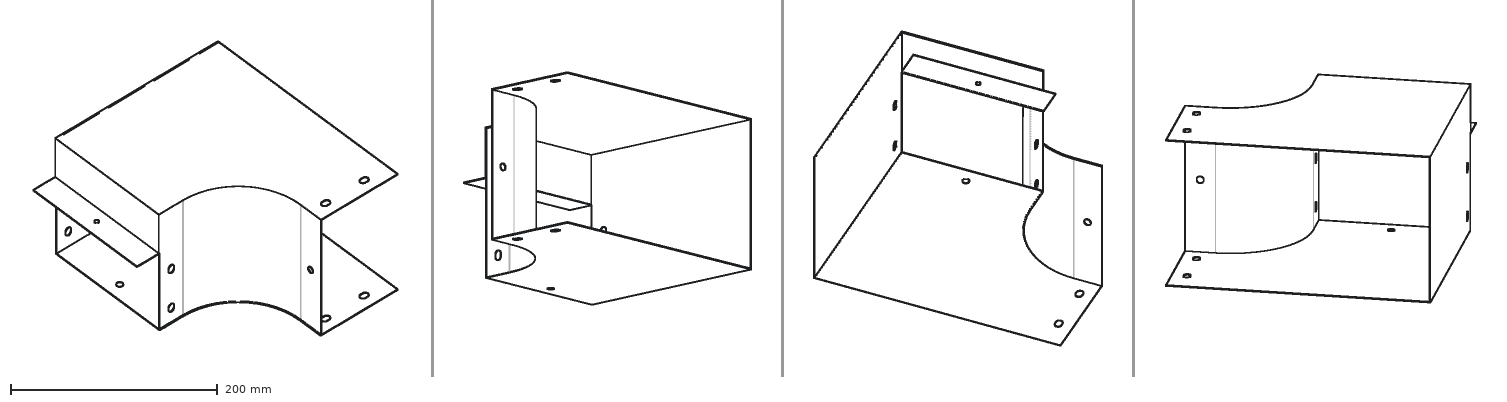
import cadquery as cq

LENGTH_X = 260.0
LENGTH_Y = 240.0
HEIGHT = 150.0
WALL = 1.0

FRONT_ARM_WIDTH = 150.0
SIDE_ARM_WIDTH = 100.0
STRAIGHT_END = 30.0
BEND_RADIUS = LENGTH_X - FRONT_ARM_WIDTH - STRAIGHT_END

FLANGE_DEPTH = 28.3
PLATE_FACE_Y = FLANGE_DEPTH
DUCT_FRONT_Y = PLATE_FACE_Y + WALL
FLANGE_TOP_Z = 100.0

HOLE_DIAMETER = 7.0
FLANGE_HOLE_DIAMETER = 5.0
SLOT_WIDTH = 7.0
SLOT_LENGTH = 10.0
EDGE_DISTANCE = 15.0
FRONT_HOLE_DISTANCE = 15.5
SLOT_WALL_DISTANCE = 20.0
SLOT_SPACING = 50.0

BACK_Y = LENGTH_Y
INNER_WALL_Y = BACK_Y - SIDE_ARM_WIDTH
SIDE_HOLES_X = LENGTH_X - EDGE_DISTANCE
FRONT_HOLES_Y = DUCT_FRONT_Y + FRONT_HOLE_DISTANCE
FLANGE_CENTER_X = FRONT_ARM_WIDTH / 2


def inner_bend(sketch, offset):
    """Follow the inner wall from the front end to the side end, moved into the duct by offset."""
    wall_x = FRONT_ARM_WIDTH - offset
    wall_y = INNER_WALL_Y + offset
    radius = BEND_RADIUS + offset
    center_x = FRONT_ARM_WIDTH + BEND_RADIUS
    center_y = INNER_WALL_Y - BEND_RADIUS
    diagonal = radius / 2**0.5
    return (
        sketch.lineTo(wall_x, center_y)
        .threePointArc((center_x - diagonal, center_y + diagonal), (center_x, wall_y))
        .lineTo(LENGTH_X, wall_y)
    )


def elbow(offset, back_y, bottom_z, height):
    """Solid elbow whose left and inner walls are moved inward by offset."""
    outline = (
        cq.Workplane("XY", origin=(0, 0, bottom_z))
        .moveTo(offset, DUCT_FRONT_Y)
        .lineTo(FRONT_ARM_WIDTH - offset, DUCT_FRONT_Y)
    )
    outline = inner_bend(outline, offset).lineTo(LENGTH_X, back_y).lineTo(offset, back_y)
    return outline.close().extrude(height)


def plate(size_x, size_y, size_z, origin):
    return cq.Workplane("XY", origin=origin).box(size_x, size_y, size_z, centered=False)


shell = elbow(0, BACK_Y, 0, HEIGHT).cut(elbow(WALL, BACK_Y, WALL, HEIGHT - 2 * WALL))

front_plate = plate(
    FRONT_ARM_WIDTH, WALL, HEIGHT - FLANGE_TOP_Z + WALL, (0, PLATE_FACE_Y, FLANGE_TOP_Z - WALL)
)
flange = plate(FRONT_ARM_WIDTH, DUCT_FRONT_Y, WALL, (0, 0, FLANGE_TOP_Z - WALL))
duct = shell.union(front_plate).union(flange)

top_slots = (
    cq.Workplane("XY")
    .pushPoints([(SIDE_HOLES_X, INNER_WALL_Y + SLOT_WALL_DISTANCE + i * SLOT_SPACING) for i in range(2)])
    .slot2D(SLOT_LENGTH, SLOT_WIDTH, 90)
    .extrude(HEIGHT)
)

wall_slots = (
    cq.Workplane("YZ")
    .pushPoints([(FRONT_HOLES_Y, SLOT_WALL_DISTANCE + i * SLOT_SPACING) for i in range(2)])
    .slot2D(SLOT_LENGTH, SLOT_WIDTH, 90)
    .extrude(FRONT_ARM_WIDTH)
)

inner_wall_hole = (
    cq.Workplane("XZ", origin=(SIDE_HOLES_X, INNER_WALL_Y, HEIGHT / 2))
    .circle(HOLE_DIAMETER / 2)
    .extrude(-WALL)
)
bottom_hole = (
    cq.Workplane("XY", origin=(FLANGE_CENTER_X, FRONT_HOLES_Y, 0)).circle(HOLE_DIAMETER / 2).extrude(WALL)
)
flange_hole = (
    cq.Workplane("XY", origin=(FLANGE_CENTER_X, EDGE_DISTANCE, FLANGE_TOP_Z - WALL))
    .circle(FLANGE_HOLE_DIAMETER / 2)
    .extrude(WALL)
)

result = duct
for cutter in (top_slots, wall_slots, inner_wall_hole, bottom_hole, flange_hole):
    result = result.cut(cutter)